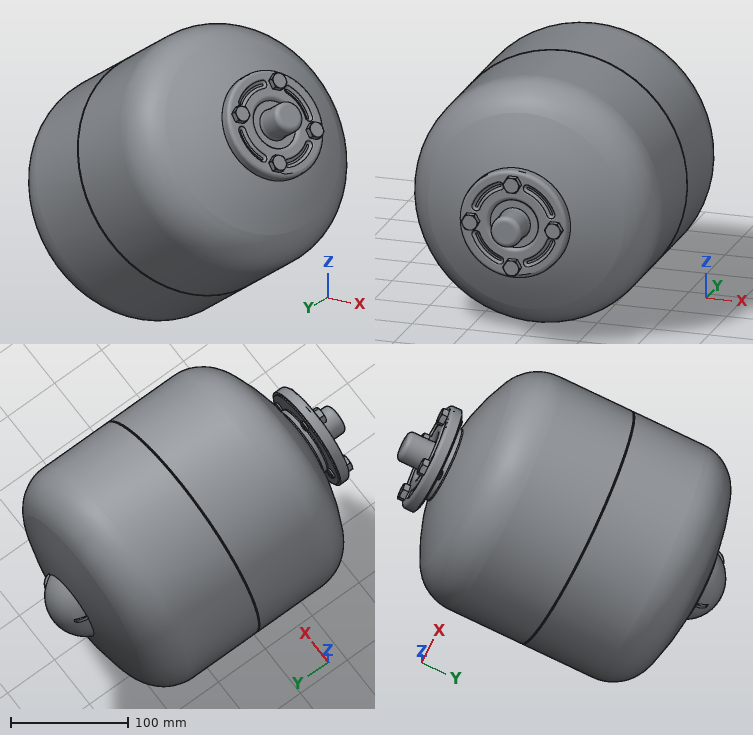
import cadquery as cq
import math


shell_radius = 110.0
seam_width = 1.5
seam_depth = 0.3

rear_shoulder_y = 68.0
rear_shoulder_radius = 39.0
rear_crown_radius = 256.0

front_shoulder_y = -69.5
front_shoulder_radius = 41.3
front_crown_radius = 186.3

cap_top_y = 137.8
nipple_tip_y = cap_top_y - 303.5

neck_root_radius = 33.7
neck_cone_start_y = -126.3
neck_radius = 32.0
neck_cone_end_y = -130.8

flange_radius = 48.3
flange_back_y = -133.2
flange_thickness = 10.3
flange_front_y = flange_back_y - flange_thickness
flange_edge_fillet = 3.3
backing_radius = 46.0
backing_thickness = 1.2
backing_y = flange_back_y + backing_thickness

recess_radius = 21.5
recess_rim_fillet = 3.5
recess_depth = 4.0
nipple_radius = 13.7
nipple_root_radius = 14.3
nipple_root_length = 4.2
nipple_tip_fillet = 4.2

slot_count = 4
slot_center_radius = 35.8
slot_sweep = 49
slot_half_width = 3.5
slot_floor_half_width = 1.0
slot_rim_fillet = 1.2
slot_depth = 3.0

bolt_count = 4
bolt_circle_radius = 37.3
head_across_flats = 13.5
head_across_corners = head_across_flats / math.cos(math.pi / 6)
head_height = 5.5
head_corner_drop = 0.5
stud_radius = 4.5
stud_length = 2.7
stud_chamfer = 1.0

cap_radius = 32.0
cap_base_y = 117.8
cap_height = cap_top_y - cap_base_y
cap_dome_radius = (cap_radius**2 + cap_height**2) / (2 * cap_height)
rib_angles = (15, 135, 255)
rib_width = 2.5
rib_outer_radius = 33.5
rib_middle_radius = 30.7
rib_middle_y = 124.0
rib_inner_radius = 24.3
rib_top_y = 127.8


def head_geometry(shoulder_y, shoulder_radius, crown_radius, side):
    """Crown center on the axis, then the shoulder arc's middle and its tangent point on the crown.

    Points are (y, radius). side is +1 for the rear head and -1 for the front head.
    """
    center_radius = shell_radius - shoulder_radius
    reach = math.sqrt((crown_radius - shoulder_radius) ** 2 - center_radius**2)
    crown_center_y = shoulder_y - side * reach
    tilt = math.asin(center_radius / (crown_radius - shoulder_radius))

    def shoulder_point(angle):
        along = shoulder_y + side * shoulder_radius * math.cos(angle)
        return (along, center_radius + shoulder_radius * math.sin(angle))

    middle = shoulder_point((tilt + math.pi / 2) / 2)
    return crown_center_y, middle, shoulder_point(tilt)


def sphere_point(center_y, radius, distance, side):
    """Point of a crown at a given distance from the axis."""
    return (center_y + side * math.sqrt(radius**2 - distance**2), distance)


def make_vessel():
    """Shell, both heads and neck as one turned shape, drawn as (y, radius)."""
    rear_center, rear_middle, rear_tangent = head_geometry(
        rear_shoulder_y, rear_shoulder_radius, rear_crown_radius, 1
    )
    front_center, front_middle, front_tangent = head_geometry(
        front_shoulder_y, front_shoulder_radius, front_crown_radius, -1
    )
    neck_top = sphere_point(front_center, front_crown_radius, neck_root_radius, -1)
    crown_middle_distance = (front_tangent[1] + neck_root_radius) / 2
    front_crown_middle = sphere_point(front_center, front_crown_radius, crown_middle_distance, -1)
    rear_crown_middle = sphere_point(rear_center, rear_crown_radius, rear_tangent[1] / 2, 1)
    return (
        cq.Workplane("YZ")
        .moveTo(rear_center + rear_crown_radius, 0)
        .threePointArc(rear_crown_middle, rear_tangent)
        .threePointArc(rear_middle, (rear_shoulder_y, shell_radius))
        .lineTo(seam_width / 2, shell_radius)
        .lineTo(0, shell_radius - seam_depth)
        .lineTo(-seam_width / 2, shell_radius)
        .lineTo(front_shoulder_y, shell_radius)
        .threePointArc(front_middle, front_tangent)
        .threePointArc(front_crown_middle, neck_top)
        .lineTo(neck_cone_start_y, neck_root_radius)
        .lineTo(neck_cone_end_y, neck_radius)
        .lineTo(backing_y, neck_radius)
        .lineTo(backing_y, 0)
        .close()
        .revolve(360, (0, 0, 0), (1, 0, 0))
    )


def front_disc(start_y, end_y, radius):
    """Cylinder on the Y axis from start_y towards -Y to end_y."""
    return cq.Workplane("XZ", origin=(0, start_y, 0)).circle(radius).extrude(start_y - end_y)


def slot_section(center, side):
    """Half of the pocket cross-section, drawn as (x, y), on one side of its center line."""
    rim = slot_rim_fillet
    mouth_y = flange_front_y + rim
    rim_middle = rim * (1 - math.sqrt(0.5))
    return (
        cq.Workplane("XY")
        .moveTo(center, flange_front_y)
        .lineTo(center + side * (slot_half_width + rim), flange_front_y)
        .threePointArc(
            (center + side * (slot_half_width + rim_middle), flange_front_y + rim_middle),
            (center + side * slot_half_width, mouth_y),
        )
        .lineTo(center + side * slot_floor_half_width, flange_front_y + slot_depth)
        .lineTo(center, flange_front_y + slot_depth)
        .close()
    )


def make_slot_pocket():
    """Cutter for one arc-shaped pocket with sloping walls, rounded rim and round ends."""
    pocket = slot_section(0, 1).revolve(360, (0, 0, 0), (0, 1, 0))
    pocket = pocket.translate((slot_center_radius, 0, 0))
    far_end = pocket.rotate((0, 0, 0), (0, 1, 0), slot_sweep)
    for side in (1, -1):
        half = slot_section(slot_center_radius, side).revolve(slot_sweep, (0, 0, 0), (0, 1, 0))
        pocket = pocket.union(half)
    return pocket.union(far_end)


def make_flange():
    """Flange plate with rounded front edges, central recess, slot pockets and backing disc."""
    plate = front_disc(flange_back_y, flange_front_y, flange_radius)
    plate = plate.faces("<Y").edges().fillet(flange_edge_fillet)
    plate = plate.cut(front_disc(flange_front_y + recess_depth, flange_front_y, recess_radius))
    recess_rim = plate.faces("<Y").edges(cq.selectors.RadiusNthSelector(0))
    plate = recess_rim.fillet(recess_rim_fillet)
    pocket = make_slot_pocket()
    pitch = 360 / slot_count
    for index in range(slot_count):
        start_angle = pitch * (index + 0.5) - slot_sweep / 2
        plate = plate.cut(pocket.rotate((0, 0, 0), (0, 1, 0), start_angle))
    backing = front_disc(backing_y, flange_back_y, backing_radius)
    return plate.union(backing)


def make_nipple():
    """Connection nipple with a slightly conical root on the floor of the central recess."""
    floor_y = flange_front_y + recess_depth
    nipple = front_disc(floor_y, nipple_tip_y, nipple_radius)
    nipple = nipple.faces("<Y").edges().fillet(nipple_tip_fillet)
    root = (
        cq.Workplane("XZ", origin=(0, floor_y, 0))
        .circle(nipple_root_radius)
        .workplane(offset=nipple_root_length)
        .circle(nipple_radius)
        .loft()
    )
    return nipple.union(root)


def make_bolt():
    """Hexagon head in front of the flange and chamfered stud end behind it, on the Y axis."""
    head = (
        cq.Workplane("XZ", origin=(0, flange_front_y, 0))
        .polygon(6, head_across_corners)
        .extrude(head_height)
    )
    corner_radius = head_across_corners / 2
    rounding = front_disc(flange_front_y, flange_front_y - head_height, corner_radius)
    flat_margin = (head_across_corners - head_across_flats) / 2
    rounding = rounding.faces("<Y").edges().chamfer(head_corner_drop, flat_margin)
    head = head.intersect(rounding)
    stud = front_disc(backing_y + stud_length, flange_front_y, stud_radius)
    stud = stud.faces(">Y").edges().chamfer(stud_chamfer)
    return head.union(stud)


def make_tank():
    """Vessel, flange, nipple and bolts as one solid."""
    body = make_vessel().union(make_flange()).union(make_nipple())
    bolt = make_bolt()
    for index in range(bolt_count):
        angle = 2 * math.pi * index / bolt_count
        spot = (bolt_circle_radius * math.cos(angle), 0, bolt_circle_radius * math.sin(angle))
        body = body.union(bolt.translate(spot))
    return body


def make_cap(tank_body):
    """Domed valve cap with three ribs, hollowed where it sits on the rear head."""
    dome_center = (0, cap_top_y - cap_dome_radius, 0)
    dome = cq.Workplane("XY", origin=dome_center).sphere(cap_dome_radius)
    above_base = front_disc(cap_top_y, cap_base_y, cap_dome_radius)
    body = dome.intersect(above_base)
    rib = (
        cq.Workplane("XY")
        .moveTo(0, cap_base_y)
        .lineTo(rib_outer_radius, cap_base_y)
        .threePointArc((rib_middle_radius, rib_middle_y), (rib_inner_radius, rib_top_y))
        .lineTo(0, rib_top_y)
        .close()
        .extrude(rib_width / 2, both=True)
    )
    for angle in rib_angles:
        body = body.union(rib.rotate((0, 0, 0), (0, 1, 0), -angle))
    return body.cut(tank_body)


tank = make_tank().solids()
cap = make_cap(tank).solids()
result = cq.Compound.makeCompound([tank.val(), cap.val()])